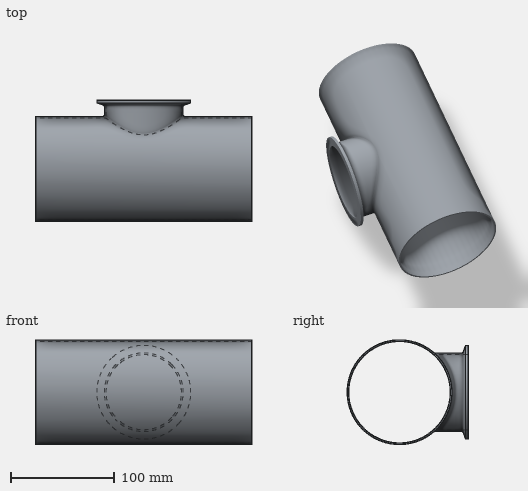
import math

import cadquery as cq

tube_length = 209.5
tube_diameter = 101.6
wall = 1.7
tube_bore = tube_diameter - 2 * wall

overall_depth = 117.5
branch_diameter = 76.3
branch_bore = branch_diameter - 2 * wall
branch_face = overall_depth - tube_diameter / 2

ferrule_length = 12.8
flange_diameter = 91.0
flange_rim = 2.7
flange_taper_angle = 20.0
neck_fillet = 1.3

weld_fillet = 1.7


def tube_cylinder(diameter):
    """Full-length cylinder on the main tube axis."""
    return cq.Workplane("YZ").circle(diameter / 2).extrude(tube_length / 2, both=True)


def branch_cylinder(diameter, length):
    """Cylinder on the branch axis, from the main tube axis outwards."""
    return cq.Workplane("XZ").circle(diameter / 2).extrude(-length)


def welded_body():
    """Solid main tube and plain branch, with a fillet along the curve where they meet."""
    branch = branch_cylinder(branch_diameter, branch_face - ferrule_length)
    body = tube_cylinder(tube_diameter).union(branch)
    return body.edges("%BSPLINE").fillet(weld_fillet)


def ferrule():
    """Short solid neck with a flange that tapers on its back, turned about the branch axis."""
    neck_radius = branch_diameter / 2
    flange_radius = flange_diameter / 2
    ferrule_base = branch_face - ferrule_length
    rim_back = branch_face - flange_rim
    taper_depth = (flange_radius - neck_radius) * math.tan(math.radians(flange_taper_angle))

    profile = (
        cq.Workplane("XY")
        .moveTo(0, ferrule_base)
        .lineTo(neck_radius, ferrule_base)
        .lineTo(neck_radius, rim_back - taper_depth)
        .lineTo(flange_radius, rim_back)
        .lineTo(flange_radius, branch_face)
        .lineTo(0, branch_face)
        .close()
    )
    turned = profile.revolve(360, (0, 0, 0), (0, 1, 0))
    return turned.faces("%CONE").edges("<Y").fillet(neck_fillet)


result = welded_body().union(ferrule(), clean=False)

result = result.cut(tube_cylinder(tube_bore), clean=False)
result = result.cut(branch_cylinder(branch_bore, branch_face), clean=False)